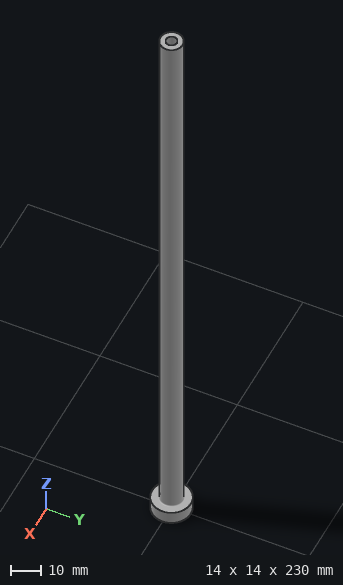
import cadquery as cq

total_length = 230.0
head_diameter = 14.0
head_height = 5.0
shank_diameter = 8.0
bore_diameter = 4.0
neck_radius = 0.5

head = cq.Workplane("XY").circle(head_diameter / 2).extrude(head_height)

shank = cq.Workplane("XY").circle(shank_diameter / 2).extrude(total_length)

neck_edge = cq.selectors.RadiusNthSelector(0)
pin = head.union(shank)
pin = pin.faces(cq.selectors.NearestToPointSelector((0, 0, head_height))).edges(neck_edge).fillet(neck_radius)

bore = cq.Workplane("XY").circle(bore_diameter / 2).extrude(total_length)

result = pin.cut(bore)